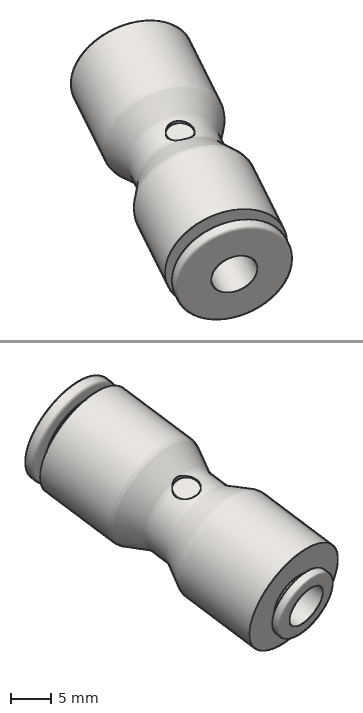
import cadquery as cq

total_length = 40.95
body_diameter = 16.1
body_radius = body_diameter / 2
body_start = 2.13
body_end = 37.88
bore_radius = 3.05

waist_radius = 6.05
waist_start = 18.25
waist_end = 21.8
left_cone_start = 14.3
right_cone_end = 25.9
waist_blend_radius = 1.3
face_margin = 0.4

left_flange_radius = 5.0
left_flange_width = 1.25
left_neck_radius = 3.6
left_flange_fillet = 0.25
right_flange_radius = 7.75
right_flange_width = 1.7
right_neck_radius = 5.6
right_flange_fillet = 0.4

flat_center_x = 20.45
flat_radius = 1.8
flat_height = 5.6


def cylinder(start, end, radius):
    """Solid cylinder along X between two positions."""
    return cq.Workplane("YZ", origin=(start, 0, 0)).circle(radius).extrude(end - start)


def make_body():
    """Waisted body with all four cone corners blended."""
    profile = [
        (body_start, 0),
        (body_start, body_radius),
        (left_cone_start, body_radius),
        (waist_start, waist_radius),
        (waist_end, waist_radius),
        (right_cone_end, body_radius),
        (body_end, body_radius),
        (body_end, 0),
    ]
    body = cq.Workplane("XY").polyline(profile).close().revolve(360, (0, 0, 0), (1, 0, 0))
    corners = cq.selectors.BoxSelector(
        (left_cone_start - face_margin, -body_radius, -body_radius),
        (right_cone_end + face_margin, body_radius, body_radius),
    )
    return body.edges(corners).edges("%CIRCLE").fillet(waist_blend_radius)


def make_flange(start, width, radius, fillet):
    """Collar flange rounded on both rims."""
    return cylinder(start, start + width, radius).edges("%CIRCLE").fillet(fillet)


right_flange_start = total_length - right_flange_width
left_flange = make_flange(0, left_flange_width, left_flange_radius, left_flange_fillet)
right_flange = make_flange(
    right_flange_start, right_flange_width, right_flange_radius, right_flange_fillet
)
left_neck = cylinder(left_flange_width / 2, body_start, left_neck_radius)
right_neck = cylinder(body_end, total_length - right_flange_width / 2, right_neck_radius)

flat_cutter = (
    cq.Workplane("XY", origin=(flat_center_x, 0, flat_height))
    .circle(flat_radius)
    .extrude(body_radius - flat_height)
)

result = (
    make_body()
    .union(left_neck)
    .union(left_flange)
    .union(right_neck)
    .union(right_flange)
    .cut(flat_cutter)
    .cut(cylinder(0, total_length, bore_radius))
)